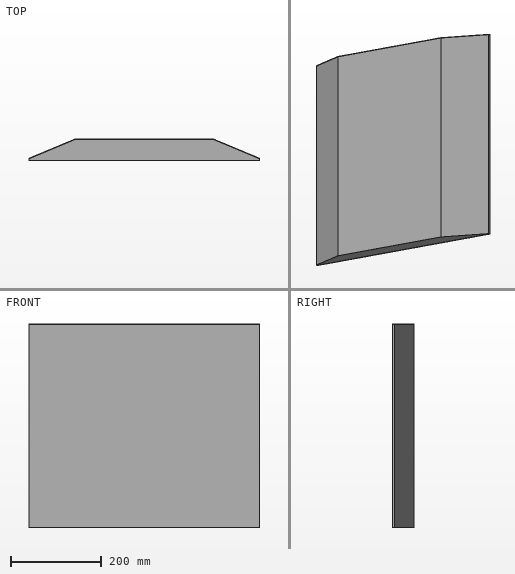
import cadquery as cq

width = 510.0
depth = 48.0
height = 450.0

edge_thickness = 5.0
back_width = 305.0

front_y = -depth / 2
edge_y = front_y + edge_thickness
back_y = depth / 2

result = (
    cq.Workplane("XY")
    .workplane(offset=-height / 2)
    .moveTo(-width / 2, front_y)
    .lineTo(width / 2, front_y)
    .lineTo(width / 2, edge_y)
    .lineTo(back_width / 2, back_y)
    .lineTo(-back_width / 2, back_y)
    .lineTo(-width / 2, edge_y)
    .close()
    .extrude(height)
)